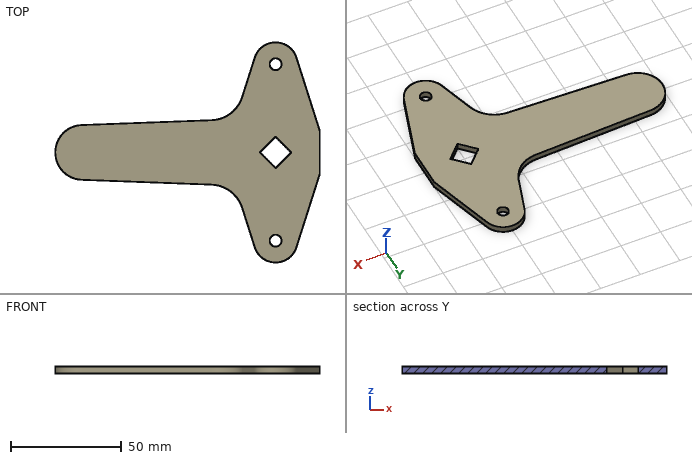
import cadquery as cq
import math

length = 120.0
width = 100.0
thickness = 3.2
back_x = 20.0
back_half_width = 10.0
ear_radius = 10.0
handle_radius = 12.5
handle_root_half_width = 15.0
handle_root_x = -back_x
neck_fillet = 15.0
ear_hole_diameter = 5.3
square_side = 10.0

ear_y = width / 2 - ear_radius
handle_tip_x = back_x - length
handle_center_x = handle_tip_x + handle_radius


def tangent_point(center, radius, outside, side):
    """Point where a line from outside touches a circle; side (+1 or -1) picks one of the two."""
    dx = outside[0] - center[0]
    dy = outside[1] - center[1]
    angle = math.atan2(dy, dx) + side * math.acos(radius / math.hypot(dx, dy))
    return (center[0] + radius * math.cos(angle), center[1] + radius * math.sin(angle))


def line_crossing(a, b, c, d):
    """Crossing point of the lines a-b and c-d."""
    ux, uy = b[0] - a[0], b[1] - a[1]
    vx, vy = d[0] - c[0], d[1] - c[1]
    t = ((c[0] - a[0]) * vy - (c[1] - a[1]) * vx) / (ux * vy - uy * vx)
    return (a[0] + t * ux, a[1] + t * uy)


def mirror_x(point):
    return (-point[0], point[1])


def mirror_y(point):
    return (point[0], -point[1])


back_corner = (back_x, back_half_width)
ear_back = tangent_point((0, ear_y), ear_radius, back_corner, 1)
ear_front = mirror_x(ear_back)
handle_root = (handle_root_x, handle_root_half_width)
handle_start = tangent_point((handle_center_x, 0), handle_radius, handle_root, 1)
neck = line_crossing(handle_start, handle_root, ear_front, mirror_x(back_corner))

plate = (
    cq.Workplane("XY")
    .moveTo(*mirror_y(back_corner))
    .lineTo(*back_corner)
    .lineTo(*ear_back)
    .threePointArc((0, width / 2), ear_front)
    .lineTo(*neck)
    .lineTo(*handle_start)
    .threePointArc((handle_tip_x, 0), mirror_y(handle_start))
    .lineTo(*mirror_y(neck))
    .lineTo(*mirror_y(ear_front))
    .threePointArc((0, -width / 2), mirror_y(ear_back))
    .close()
    .extrude(thickness)
)

for corner in (neck, mirror_y(neck)):
    neck_edge = cq.selectors.NearestToPointSelector((*corner, thickness / 2))
    plate = plate.edges("|Z").edges(neck_edge).fillet(neck_fillet)

ear_holes = (
    cq.Workplane("XY")
    .pushPoints([(0, ear_y), (0, -ear_y)])
    .circle(ear_hole_diameter / 2)
    .extrude(thickness)
)
square_hole = (
    cq.Workplane("XY")
    .rect(square_side, square_side)
    .extrude(thickness)
    .rotate((0, 0, 0), (0, 0, 1), 45)
)

result = plate.cut(ear_holes).cut(square_hole)